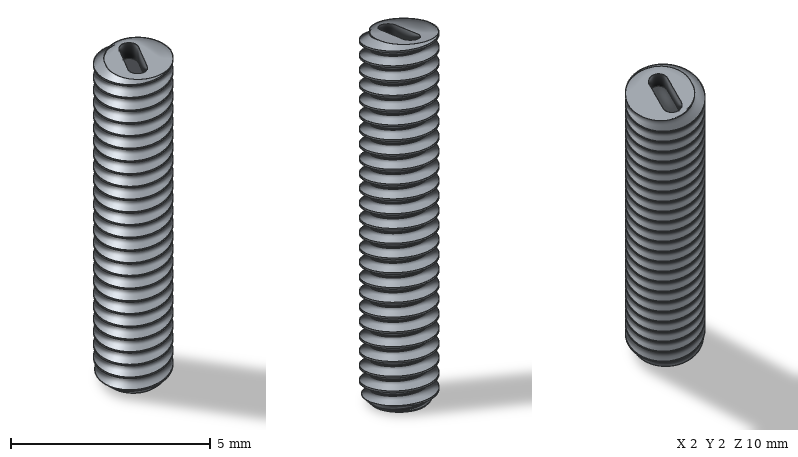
import cadquery as cq
import math

length = 10
major_radius = 1
root_radius = 0.74

pitch = 0.4
crest_width = pitch / 8
flank_rise = (major_radius - root_radius) * math.tan(math.radians(30))
root_width = pitch - crest_width - 2 * flank_rise
crest_height = 0.32

tip_radius = 0.72

slot_length = 1.32
slot_width = 0.5
slot_depth = 0.5

overrun = 2 * pitch
thread_start = crest_height - crest_width / 2 - flank_rise - root_width - overrun
turn_count = math.ceil((length - thread_start) / pitch) + 1
thread_end = thread_start + turn_count * pitch

thread_section = [
    (root_radius, 0),
    (root_radius, root_width),
    (major_radius, root_width + flank_rise),
    (major_radius, root_width + flank_rise + crest_width),
    (root_radius, pitch),
]


def helix_turn(radius, height):
    """One full turn starting on the +X side at the given height."""
    return cq.Wire.makeHelix(pitch, pitch, radius, center=cq.Vector(0, 0, height)).Edges()[0]


def turn_faces(base):
    """Outer faces of one thread turn: root, flank, crest and flank."""
    edges = [helix_turn(radius, base + height) for radius, height in thread_section]
    return [cq.Face.makeRuledSurface(lower, upper) for lower, upper in zip(edges, edges[1:])]


def end_faces(base):
    """Spiral ramp from the axis to the root, with the flat step that closes its one-pitch rise."""
    axis_line = cq.Edge.makeLine(cq.Vector(0, 0, base), cq.Vector(0, 0, base + pitch))
    ramp = cq.Face.makeRuledSurface(axis_line, helix_turn(root_radius, base))
    step_outline = [cq.Vector(0, 0, base)]
    step_outline += [cq.Vector(radius, 0, base + height) for radius, height in thread_section]
    step_outline.append(cq.Vector(0, 0, base + pitch))
    step = cq.Face.makeFromWires(cq.Wire.makePolygon(step_outline, close=True))
    return ramp, step


def endless_thread():
    """Threaded bar with spiral ends, longer than the finished rod."""
    lower_ramp, lower_step = end_faces(thread_start)
    upper_ramp, upper_step = end_faces(thread_end)
    faces = [lower_ramp, lower_step, upper_ramp, upper_step]
    for turn in range(turn_count):
        faces += turn_faces(thread_start + turn * pitch)
    return cq.Workplane(obj=cq.Solid.makeSolid(cq.Shell.makeShell(faces)))

def trimming_body():
    """Square-ended body with the lead-in cone, clear of the thread crests."""
    clearance_radius = 2 * major_radius
    return (
        cq.Workplane("XZ")
        .polyline([
            (0, 0),
            (tip_radius, 0),
            (clearance_radius, clearance_radius - tip_radius),
            (clearance_radius, length),
            (0, length),
        ])
        .close()
        .revolve(360, (0, 0, 0), (0, 1, 0))
    )


def driver_slot():
    """Round-ended slot along X."""
    return (
        cq.Workplane("XY", origin=(0, 0, length))
        .slot2D(slot_length, slot_width)
        .extrude(-slot_depth)
    )


result = endless_thread().intersect(trimming_body()).cut(driver_slot())